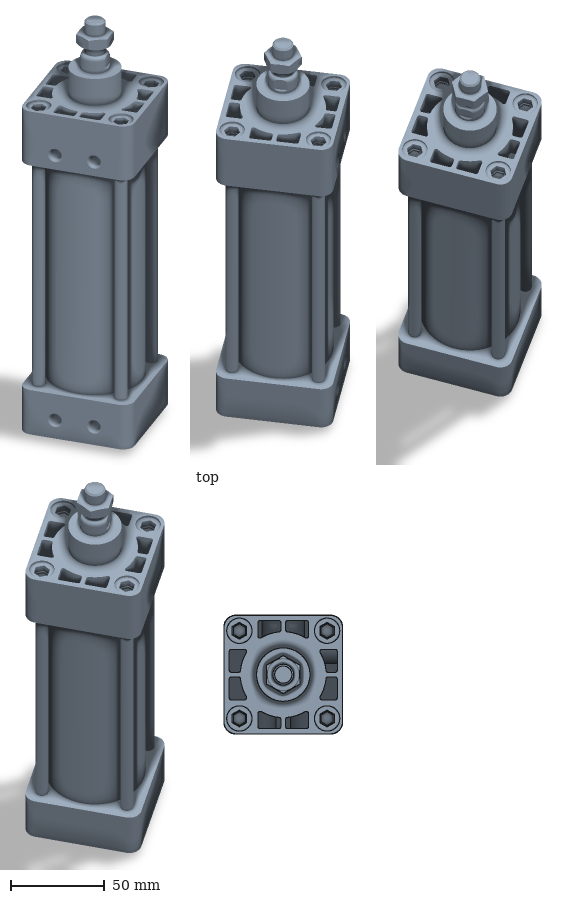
import cadquery as cq
import math

REAR_BOSS_HEIGHT = 3.5
REAR_HEAD_TOP = 30.2
FRONT_HEAD_BOTTOM = 164.5
FRONT_HEAD_TOP = 197.0
FRONT_BOSS_TOP = 212.8
SHOULDER_TOP = 222.0
NUT_BOTTOM = 227.0
NUT_HEIGHT = 6.5
ROD_TIP = 241.3

HEAD_SIDE = 63.5
HEAD_CORNER_RADIUS = 6.5
BOSS_DIAMETER = 28.5
TUBE_DIAMETER = 54.0
TIE_ROD_DIAMETER = 7.0
TIE_ROD_OFFSET = 23.5

COUNTERBORE_DIAMETER = 13.5
COUNTERBORE_DEPTH = 1.2
SOCKET_FLATS = 7.7
SOCKET_DEPTH = 4.0
SOCKET_PIT_FLATS = 6.5
SOCKET_PIT_DEPTH = 1.2

PORT_OFFSET = 11.0
PORT_DIAMETER = 6.5
PORT_MOUTH = 8.0
PORT_DEPTH = 7.2
PORT_TIP_ANGLE = 118.0
REAR_PORT_Z = 14.5
FRONT_PORT_Z = 173.0

HEAD_WALL = 3.0
POCKET_INNER_RADIUS = 23.0
POCKET_NEAR_EDGE = 1.2
POCKET_FAR_EDGE = 13.5
POCKET_CORNER_RADIUS = 1.2
POCKET_DEPTH = 27.7
SCREW_BOSS_DIAMETER = 14.7
AIR_BOSS_DIAMETER = 22.7
CUSHION_BOSS_DIAMETER = 10.0
CUSHION_BOSS_OFFSET = 10.9

ROD_DIAMETER = 16.0
ROD_SHOULDER_FILLET = 2.2
ROD_FLATS = 14.2
ROD_FLAT_BOTTOM = 215.0
THREAD_DIAMETER = 11.0
THREAD_CHAMFER = 1.0
NUT_FLATS = 17.5
NUT_BOTTOM_CHAMFER = 1.0
NUT_TOP_CHAMFER = 0.35
NUT_TOP_FACE_DIAMETER = 17.1

CORNERS = [(x, y) for x in (-TIE_ROD_OFFSET, TIE_ROD_OFFSET) for y in (-TIE_ROD_OFFSET, TIE_ROD_OFFSET)]


def cylinder(diameter, bottom, top):
    return cq.Workplane().workplane(offset=bottom).circle(diameter / 2).extrude(top - bottom)


def hexagon(flats, bottom, height):
    """Hexagonal prism with its corners on the Y axis."""
    across_corners = 2 * flats / math.sqrt(3)
    prism = cq.Workplane().polygon(6, across_corners).extrude(height)
    return prism.rotate((0, 0, 0), (0, 0, 1), 90).translate((0, 0, bottom))


def head(bottom, top):
    """Square block with rounded vertical edges."""
    block = cq.Workplane().workplane(offset=bottom).rect(HEAD_SIDE, HEAD_SIDE).extrude(top - bottom)
    return block.edges("|Z").fillet(HEAD_CORNER_RADIUS)


def port(x, z):
    """Drilled hole in the -Y face with a bevelled mouth and a conical end."""
    radius = PORT_DIAMETER / 2
    mouth_radius = PORT_MOUTH / 2
    bevel = mouth_radius - radius
    tip = PORT_DEPTH + radius / math.tan(math.radians(PORT_TIP_ANGLE / 2))
    profile = [(0, 0), (mouth_radius, 0), (radius, bevel), (radius, PORT_DEPTH), (0, tip)]
    drill = cq.Workplane().polyline(profile).close().revolve(360, (0, 0), (0, 1))
    return drill.translate((x, -HEAD_SIDE / 2, z))


def bolt_recess(x, y):
    """Shallow counterbore, a hexagonal socket in its floor and a smaller hexagonal pit below the socket."""
    counterbore_floor = FRONT_HEAD_TOP - COUNTERBORE_DEPTH
    socket_floor = counterbore_floor - SOCKET_DEPTH
    counterbore = cylinder(COUNTERBORE_DIAMETER, counterbore_floor, FRONT_HEAD_TOP)
    socket = hexagon(SOCKET_FLATS, socket_floor, SOCKET_DEPTH)
    pit = hexagon(SOCKET_PIT_FLATS, socket_floor - SOCKET_PIT_DEPTH, SOCKET_PIT_DEPTH)
    return counterbore.union(socket).union(pit).translate((x, y, 0))


def pocket_pair(turn):
    """Two mirrored pockets along the +Y wall, turned about Z."""
    outer = HEAD_SIDE / 2 - HEAD_WALL
    floor = FRONT_HEAD_TOP - POCKET_DEPTH
    center_x = (POCKET_NEAR_EDGE + POCKET_FAR_EDGE) / 2
    pair = (
        cq.Workplane()
        .workplane(offset=floor)
        .pushPoints([(-center_x, outer / 2), (center_x, outer / 2)])
        .rect(POCKET_FAR_EDGE - POCKET_NEAR_EDGE, outer)
        .extrude(POCKET_DEPTH)
        .cut(cylinder(2 * POCKET_INNER_RADIUS, floor, FRONT_HEAD_TOP))
        .edges("|Z")
        .fillet(POCKET_CORNER_RADIUS)
    )
    return pair.rotate((0, 0, 0), (0, 0, 1), turn)


def pocket_boss(diameter, offset, turn):
    """Round boss running from the axis out to the +Y wall at a sideways offset, turned about Z."""
    boss = cq.Workplane("XZ").center(offset, FRONT_PORT_Z).circle(diameter / 2).extrude(-HEAD_SIDE / 2)
    return boss.rotate((0, 0, 0), (0, 0, 1), turn)


def pockets():
    """All the pockets, with the bosses that cross them left standing."""
    shape = cq.Workplane()
    for turn in (0, 90, 180, 270):
        shape = shape.add(pocket_pair(turn))
    shape = shape.combine()
    shape = shape.cut(pocket_boss(AIR_BOSS_DIAMETER, 0, 0))
    shape = shape.cut(pocket_boss(CUSHION_BOSS_DIAMETER, -CUSHION_BOSS_OFFSET, -90))
    for offset in (-PORT_OFFSET, PORT_OFFSET):
        shape = shape.cut(pocket_boss(SCREW_BOSS_DIAMETER, offset, 180))
    return shape


def make_housing():
    """Both heads with the tube, tie rods and bosses that join and extend them."""
    body = head(REAR_BOSS_HEIGHT, REAR_HEAD_TOP).union(head(FRONT_HEAD_BOTTOM, FRONT_HEAD_TOP))
    body = body.cut(pockets())
    for x, y in CORNERS:
        body = body.cut(bolt_recess(x, y))
    for x in (-PORT_OFFSET, PORT_OFFSET):
        for z in (REAR_PORT_Z, FRONT_PORT_Z):
            body = body.cut(port(x, z))
    for x, y in CORNERS:
        tie_rod = cylinder(TIE_ROD_DIAMETER, REAR_HEAD_TOP, FRONT_HEAD_BOTTOM)
        body = body.union(tie_rod.translate((x, y, 0)))
    body = body.union(cylinder(TUBE_DIAMETER, REAR_HEAD_TOP, FRONT_HEAD_BOTTOM))
    body = body.union(cylinder(BOSS_DIAMETER, 0, REAR_BOSS_HEIGHT))
    return body.union(cylinder(BOSS_DIAMETER, FRONT_HEAD_TOP, FRONT_BOSS_TOP))


def make_rod():
    """Shoulder with a rounded rim and two wrench flats, topped by the chamfered thread."""
    shoulder = cylinder(ROD_DIAMETER, FRONT_BOSS_TOP, SHOULDER_TOP)
    shoulder = shoulder.faces(">Z").edges().fillet(ROD_SHOULDER_FILLET)
    flat_x = ROD_FLATS / 2
    rim_x = ROD_DIAMETER / 2
    slope_bottom = ROD_FLAT_BOTTOM - (rim_x - flat_x)
    for side in (-1, 1):
        profile = [
            (side * flat_x, SHOULDER_TOP),
            (side * flat_x, ROD_FLAT_BOTTOM),
            (side * rim_x, slope_bottom),
            (side * rim_x, SHOULDER_TOP),
        ]
        cutter = cq.Workplane("XZ").polyline(profile).close().extrude(rim_x, both=True)
        shoulder = shoulder.cut(cutter)
    thread = cylinder(THREAD_DIAMETER, SHOULDER_TOP, ROD_TIP).faces(">Z").chamfer(THREAD_CHAMFER)
    return shoulder.union(thread)


def make_nut():
    """Hexagonal nut bevelled below to its inscribed circle and above to a smaller round face."""
    top = NUT_BOTTOM + NUT_HEIGHT
    across_corners = 2 * NUT_FLATS / math.sqrt(3)
    bottom_inset = (across_corners - NUT_FLATS) / 2
    top_inset = (across_corners - NUT_TOP_FACE_DIAMETER) / 2
    envelope = cylinder(across_corners, NUT_BOTTOM, top)
    envelope = envelope.faces("<Z").chamfer(NUT_BOTTOM_CHAMFER, bottom_inset)
    envelope = envelope.faces(">Z").chamfer(NUT_TOP_CHAMFER, top_inset)
    bore = cylinder(THREAD_DIAMETER, NUT_BOTTOM, top)
    return hexagon(NUT_FLATS, NUT_BOTTOM, NUT_HEIGHT).intersect(envelope).cut(bore)


housing = make_housing().solids()
piston_rod = make_rod().solids()
nut = make_nut().solids()

result = cq.Compound.makeCompound([housing.val(), piston_rod.val(), nut.val()])